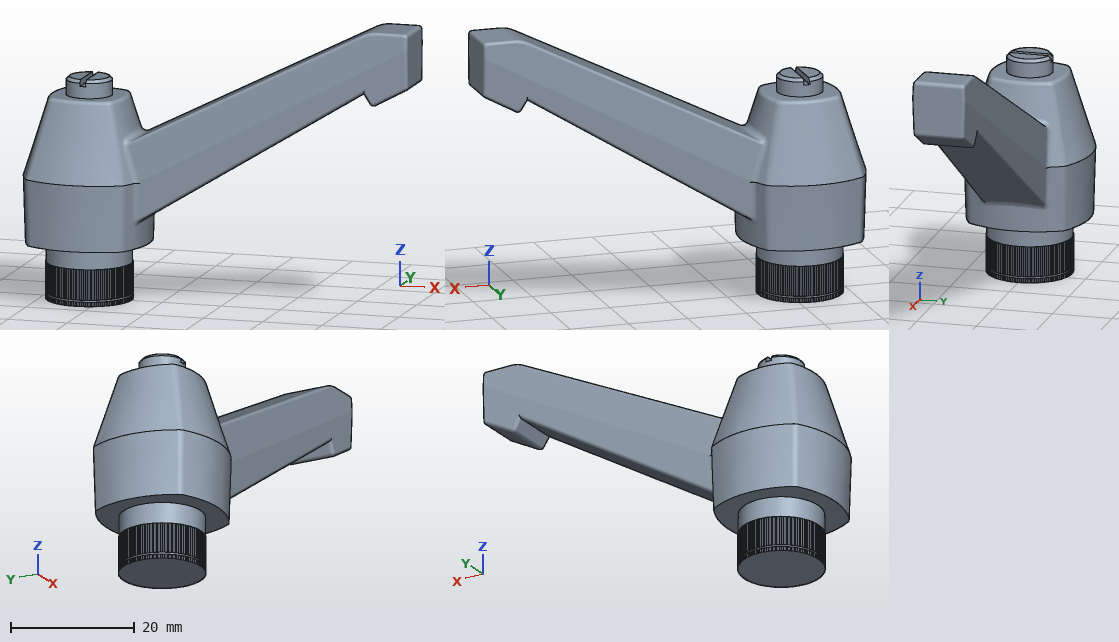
import cadquery as cq
import math


knurl_top = 6.1
hub_bottom = 9.6
hub_waist = 20.6
hub_top = 33.65
screw_top = 36.65

neck_radius = 14.0 / 2
tooth_count = 100
tooth_height = 0.05
tooth_root_radius = neck_radius + 0.03
tooth_tip_radius = tooth_root_radius + tooth_height
groove_bottom = 0.7
groove_top = 1.05

hub_half_width = 10.5
side_radius = 15.7
upper_taper = 17.6
lower_taper = 1.8
hub_corner_fillet = 1.8
hub_top_fillet = 0.8

screw_radius = 7.5 / 2
screw_chamfer = 0.5
slot_width = 1.0
slot_depth = 1.05

arm_start = 5.9
arm_end = 55.0
arm_top = 47.5
top_slope = math.tan(math.radians(26.9))
underside_angle = math.radians(31.7)
midline_angle = math.radians(28.4)
top_bend_x = 48.45
notch_x = 47.6
notch_z = 37.4
notch_depth = 2.55
bend_fillet = 5.25
tip_fillet = 0.65

midline_x = 9.8
midline_z = hub_waist
root_half_width = 5.55
tip_half_width = 4.45
arm_draft = 3.0
draft_height = 13.1
arm_edge_fillet = 0.5

root_fillet = 1.0
waist_overrun = 9.8
root_box = cq.selectors.BoxSelector((7.2, -5.7, 13.1), (12.45, 5.7, 28.15))

tolerance = 0.05


def hub_outline(height, growth):
    """Four equal arcs meeting at the corners of a square, moved outward by growth from the waist size."""
    half_width = hub_half_width + growth
    arc_radius = side_radius + growth
    center_offset = side_radius - hub_half_width
    corner = (math.sqrt(2 * arc_radius**2 - center_offset**2) - center_offset) / 2
    return (
        cq.Workplane("XY")
        .workplane(offset=height)
        .moveTo(corner, -corner)
        .threePointArc((half_width, 0), (corner, corner))
        .threePointArc((0, half_width), (-corner, corner))
        .threePointArc((-half_width, 0), (-corner, -corner))
        .threePointArc((0, -half_width), (corner, -corner))
        .close()
    )


def is_upright(edge):
    return edge.BoundingBox().zlen > tolerance


def hub_cone(end_height, taper):
    """One tapered stretch of the hub, continued past the waist so that the arm can blend into it."""
    overrun = math.copysign(waist_overrun, hub_waist - end_height)
    start_height = hub_waist + overrun
    growth = waist_overrun * math.tan(math.radians(taper))
    cone = hub_outline(start_height, growth).extrude(end_height - start_height, taper=taper)
    return cone.edges().filter(is_upright).fillet(hub_corner_fillet)


def arm_side_body():
    """Side shape of the arm, extruded wider than the arm, with its outer corners rounded."""
    underside_start = notch_z - (notch_x - arm_start) * math.tan(underside_angle)
    top_start = arm_top - (top_bend_x - arm_start) * top_slope
    hook_x = notch_x + notch_depth * math.sin(underside_angle)
    hook_z = notch_z - notch_depth * math.cos(underside_angle)
    tip_bottom = hook_z + (arm_end - hook_x) * math.tan(midline_angle)
    corner_fillets = {
        (top_bend_x, arm_top): bend_fillet,
        (arm_end, arm_top): tip_fillet,
        (arm_end, tip_bottom): tip_fillet,
        (hook_x, hook_z): tip_fillet,
    }
    outline = [(notch_x, notch_z), (arm_start, underside_start), (arm_start, top_start), *corner_fillets]
    body = cq.Workplane("XZ").polyline(outline).close().extrude(2 * root_half_width, both=True)
    for (x, z), radius in corner_fillets.items():
        body = body.edges(cq.selectors.NearestToPointSelector((x, 0, z))).fillet(radius)
    return body


def arm_width_body():
    """Wedge that is widest on the midline plane, narrows towards the tip and is drafted both ways."""
    direction = (math.cos(midline_angle), 0, math.sin(midline_angle))
    normal = (-direction[2], 0, direction[0])
    plane = cq.Plane(origin=(midline_x, 0, midline_z), xDir=direction, normal=normal)
    span = (arm_end - midline_x) / direction[0]
    narrowing = (root_half_width - tip_half_width) / span
    start = -0.25 * span
    end = 1.25 * span
    start_half_width = root_half_width - narrowing * start
    end_half_width = root_half_width - narrowing * end
    corners = [
        (start, -start_half_width),
        (end, -end_half_width),
        (end, end_half_width),
        (start, start_half_width),
    ]
    outline = cq.Sketch().polygon(corners + corners[:1])
    upper = cq.Workplane(plane).placeSketch(outline).extrude(draft_height, taper=arm_draft)
    lower = cq.Workplane(plane).placeSketch(outline).extrude(-draft_height, taper=arm_draft)
    return upper.union(lower)


def is_arm_outline_edge(edge):
    """True on the rims of the two side faces, but not on their midline or at the end inside the hub."""
    center = edge.Center()
    rise = (center.z - midline_z) * math.cos(midline_angle)
    above_midline = rise - (center.x - midline_x) * math.sin(midline_angle)
    on_side = abs(center.y) > tolerance
    return on_side and abs(above_midline) > tolerance and center.x > arm_start + tolerance


def make_arm():
    arm = arm_side_body().intersect(arm_width_body())
    return arm.edges().filter(is_arm_outline_edge).fillet(arm_edge_fillet)


def blend_arm(cone, arm):
    """Join the arm to one stretch of the hub with a fillet all around the arm's root."""
    return cone.union(arm).edges(root_box).fillet(root_fillet)


def slab(bottom, top):
    """Block between two heights that is wide enough to hold the whole lever."""
    width = 3 * arm_end
    return cq.Workplane("XY").workplane(offset=bottom).rect(width, width).extrude(top - bottom)


def make_lever():
    """Hub and arm, blended separately above and below the waist, where the hub changes its taper."""
    arm = make_arm()
    upper_cone = hub_cone(hub_top, upper_taper).faces(">Z").edges().fillet(hub_top_fillet)
    lower_cone = hub_cone(hub_bottom, lower_taper)
    upper = blend_arm(upper_cone, arm).intersect(slab(hub_waist, 2 * arm_top))
    lower = blend_arm(lower_cone, arm).intersect(slab(0, hub_waist))
    return upper.union(lower)


def toothed_ring(bottom, top):
    """Ring with fine V-shaped teeth parallel to the axis."""
    points = []
    for i in range(2 * tooth_count):
        angle = math.pi * i / tooth_count
        radius = tooth_tip_radius if i % 2 == 0 else tooth_root_radius
        points.append((radius * math.cos(angle), radius * math.sin(angle)))
    return cq.Workplane("XY").workplane(offset=bottom).polyline(points).close().extrude(top - bottom)


def make_insert():
    """Round neck with a knurl that is interrupted by a narrow groove near the bottom."""
    neck = cq.Workplane("XY").circle(neck_radius).extrude(hub_bottom)
    return neck.union(toothed_ring(0, groove_bottom)).union(toothed_ring(groove_top, knurl_top))


def make_screw():
    screw = (
        cq.Workplane("XY")
        .workplane(offset=hub_top)
        .circle(screw_radius)
        .extrude(screw_top - hub_top)
        .faces(">Z")
        .chamfer(screw_chamfer)
    )
    slot = (
        cq.Workplane("XY")
        .workplane(offset=screw_top - slot_depth)
        .rect(slot_width, 2 * screw_radius)
        .extrude(slot_depth)
    )
    return screw.cut(slot)


result = make_lever().union(make_insert()).union(make_screw())